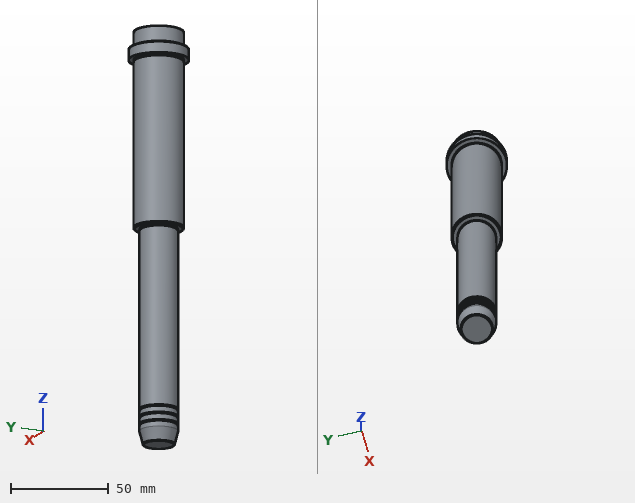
import cadquery as cq

total_length = 220
body_radius = 13.0
stem_radius = 10.0
head_chamfer = 0.33

collar_radius = 15.5
collar_top = total_length - 9.0
collar_thickness = 6.0
collar_bottom = collar_top - collar_thickness
collar_chamfer = 0.5

shoulder_height = 115.0
shoulder_chamfer = 0.7

relief_width = 0.9
relief_depth = 0.2

collar_relief_width = 1.0
collar_relief_depth = 0.2

tip_radius = 8.25
tip_length = 7.3
tip_chamfer = 0.5

groove_count = 3
groove_pitch = 4.0
groove_width = 0.9
groove_depth = 0.5
lowest_groove_height = 10.5


def revolve_profile(points):
    return cq.Workplane("XZ").polyline(points).close().revolve(360, (0, 0, 0), (0, 1, 0))


def make_pin():
    profile = [
        (0, 0),
        (tip_radius - tip_chamfer, 0),
        (tip_radius, tip_chamfer),
        (stem_radius, tip_length),
        (stem_radius, shoulder_height),
        (body_radius - shoulder_chamfer, shoulder_height),
        (body_radius, shoulder_height + shoulder_chamfer),
        (body_radius, total_length - head_chamfer),
        (body_radius - head_chamfer, total_length),
        (0, total_length),
    ]
    return revolve_profile(profile)


def make_collar():
    collar = cq.Workplane("XY", origin=(0, 0, collar_bottom)).circle(collar_radius).extrude(collar_thickness)
    return collar.faces(">Z").edges().chamfer(collar_chamfer)


def make_relief(surface_radius, bottom):
    """Ring that cuts a shallow square groove into a cylinder of the given radius."""
    return (
        cq.Workplane("XY", origin=(0, 0, bottom))
        .circle(surface_radius)
        .circle(surface_radius - relief_depth)
        .extrude(relief_width)
    )


def make_v_groove(surface_radius, middle_height, width, depth):
    """Ring that cuts a V-groove into a cylinder of the given radius."""
    return revolve_profile([
        (surface_radius, middle_height - width / 2),
        (surface_radius - depth, middle_height),
        (surface_radius, middle_height + width / 2),
    ])


result = make_pin().union(make_collar())

result = result.cut(make_relief(body_radius, collar_top))
result = result.cut(make_relief(stem_radius, shoulder_height - relief_width))
collar_relief_height = collar_bottom - collar_relief_width / 2
result = result.cut(
    make_v_groove(body_radius, collar_relief_height, collar_relief_width, collar_relief_depth)
)

for index in range(groove_count):
    groove_height = lowest_groove_height + index * groove_pitch
    result = result.cut(make_v_groove(stem_radius, groove_height, groove_width, groove_depth))